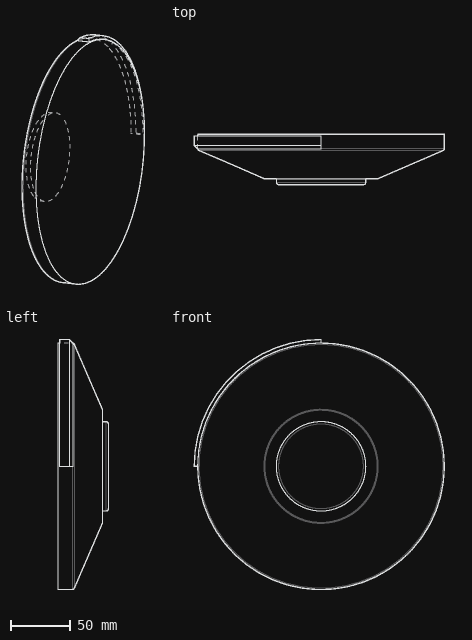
import cadquery as cq

RIM_RADIUS = 209.0 / 2
RIM_DEPTH = 13.4
CONE_END_RADIUS = 48.0
BODY_DEPTH = 37.8
EDGE_FILLET = 2.0

BOSS_RADIUS = 75.8 / 2
BOSS_HEIGHT = 5.0

BAND_HEIGHT = 3.0
BAND_RADIUS = RIM_RADIUS + BAND_HEIGHT
BAND_REAR_DEPTH = 1.4
BAND_FRONT_DEPTH = 12.6
BAND_ANGLE = 90.0
BAND_OVERLAP = 4.0


def make_body():
    """Turned disc: straight rim, long cone and flat front, with both ends of the cone rounded."""
    half_section = (
        cq.Workplane("XY")
        .moveTo(0, 0)
        .lineTo(RIM_RADIUS, 0)
        .lineTo(RIM_RADIUS, -RIM_DEPTH)
        .lineTo(CONE_END_RADIUS, -BODY_DEPTH)
        .lineTo(0, -BODY_DEPTH)
        .close()
    )
    disc = half_section.revolve(360, (0, 0, 0), (0, 1, 0))
    cone_edges = disc.faces("%CONE").edges("%CIRCLE")
    return cone_edges.fillet(EDGE_FILLET)


def make_boss():
    """Round boss on the front face, with its front edge rounded."""
    boss = cq.Workplane("XZ", origin=(0, -BODY_DEPTH, 0)).circle(BOSS_RADIUS).extrude(BOSS_HEIGHT)
    return boss.faces("<Y").edges().fillet(EDGE_FILLET)


def make_band():
    """Quarter-turn band on the rim, in the -X, +Z quadrant, chamfered at the front over its full height."""
    inner_radius = RIM_RADIUS - BAND_OVERLAP
    section = (
        cq.Workplane("XY")
        .moveTo(-inner_radius, -BAND_REAR_DEPTH)
        .lineTo(-BAND_RADIUS, -BAND_REAR_DEPTH)
        .lineTo(-BAND_RADIUS, -BAND_FRONT_DEPTH + BAND_HEIGHT)
        .lineTo(-RIM_RADIUS, -BAND_FRONT_DEPTH)
        .lineTo(-inner_radius, -BAND_FRONT_DEPTH)
        .close()
    )
    return section.revolve(BAND_ANGLE, (0, 0, 0), (0, 1, 0))


result = make_body().union(make_boss()).union(make_band())